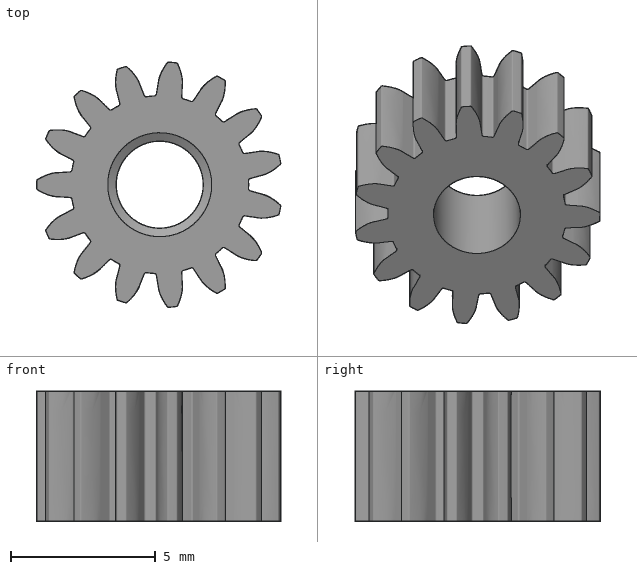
import cadquery as cq
import math

tooth_count = 15
module = 0.5
pressure_angle = math.radians(20)
face_width = 4.5
root_radius = 3.075
tip_round = 0.06
root_round = 0.07
bore_radius = 1.5
countersink_radius = 1.795
countersink_depth = 0.17

pitch_radius = module * tooth_count / 2
outer_radius = pitch_radius + module
base_radius = pitch_radius * math.cos(pressure_angle)
tooth_pitch = 2 * math.pi / tooth_count

root_half_thickness = 0.45
flank_points = 7
radius_tolerance = 0.01


def involute(angle):
    return math.tan(angle) - angle


def tooth_half_angle(radius):
    """Angle from the tooth centreline to its involute flank at a given radius."""
    roll = math.acos(base_radius / radius)
    return tooth_pitch / 4 + involute(pressure_angle) - involute(roll)


def polar(radius, angle):
    return (radius * math.cos(angle), radius * math.sin(angle))


def flank():
    """Points of the upper involute flank of a tooth along +X, from base circle to tip."""
    step = (outer_radius - base_radius) / (flank_points - 1)
    radii = [base_radius + step * i for i in range(flank_points)]
    return [polar(radius, tooth_half_angle(radius)) for radius in radii]


def tooth():
    """One tooth pointing along +X, rooted inside the gear body."""
    upper = flank()
    lower = [(x, -y) for x, y in upper]
    root_x = math.sqrt(root_radius**2 - root_half_thickness**2)
    inner_x = root_radius - module
    profile = (
        cq.Workplane("XY")
        .moveTo(inner_x, -root_half_thickness)
        .lineTo(root_x, -root_half_thickness)
        .lineTo(*lower[0])
        .spline(lower[1:], includeCurrent=True)
        .threePointArc((outer_radius, 0), upper[-1])
        .spline(upper[-2::-1], includeCurrent=True)
        .lineTo(root_x, root_half_thickness)
        .lineTo(inner_x, root_half_thickness)
        .close()
    )
    tip_edges = cq.selectors.BoxSelector(
        (outer_radius - tip_round, -module, 0), (outer_radius + tip_round, module, face_width)
    )
    return profile.extrude(face_width).edges("|Z").edges(tip_edges).fillet(tip_round)


def gear_blank():
    """Root cylinder with all teeth, one of them pointing along -X, and rounded root corners."""
    blank = cq.Workplane("XY").circle(root_radius).extrude(face_width)
    one_tooth = tooth()
    for i in range(tooth_count):
        turn = 180 + 360 * i / tooth_count
        blank = blank.union(one_tooth.rotate((0, 0, 0), (0, 0, 1), turn))
    root_corners = [
        edge
        for edge in blank.edges("|Z").vals()
        if abs(math.hypot(edge.Center().x, edge.Center().y) - root_radius) < radius_tolerance
    ]
    return blank.newObject(root_corners).fillet(root_round)


def bore():
    """Through bore with a conical countersink at the top face."""
    return (
        cq.Workplane("XZ")
        .moveTo(0, 0)
        .lineTo(bore_radius, 0)
        .lineTo(bore_radius, face_width - countersink_depth)
        .lineTo(countersink_radius, face_width)
        .lineTo(0, face_width)
        .close()
        .revolve(360, (0, 0, 0), (0, 1, 0))
    )


result = gear_blank().cut(bore())